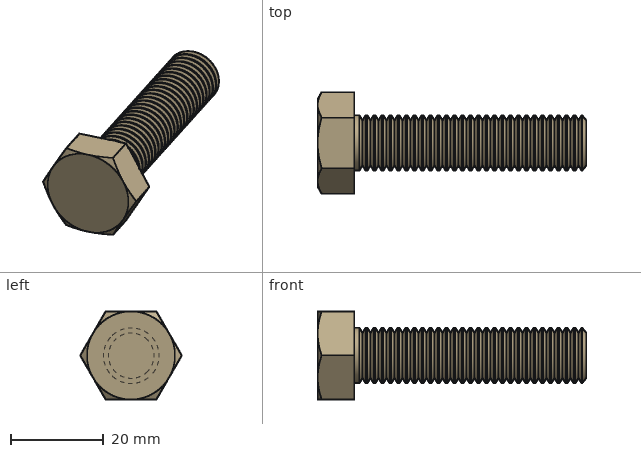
import cadquery as cq
import math

total_length = 57.95
head_height = 7.95
across_flats = 19.0
across_corners = across_flats / math.cos(math.radians(30))
head_chamfer_angle = 30.0

thread_diameter = 12.0
thread_depth = 1.1
groove_count = 28
thread_length = 48.35
thread_pitch = thread_length / groove_count
crest_width = 0.375
plain_collar_length = 1.05
tip_chamfer_length = 0.9

thread_radius = thread_diameter / 2
root_radius = thread_radius - thread_depth
groove_width = thread_pitch - crest_width


def revolve_about_x(profile):
    """Turn a profile, drawn as length along X and radius along Y, about the X axis."""
    return profile.close().revolve(360, (0, 0, 0), (1, 0, 0))


def make_head():
    """Hexagonal prism with flats facing +Z and -Z, its outer corners cut by a cone."""
    hexagon = cq.Workplane("YZ").polygon(6, across_corners).extrude(head_height)

    flat_radius = across_flats / 2
    corner_radius = across_corners / 2
    chamfer_length = (corner_radius - flat_radius) * math.tan(math.radians(head_chamfer_angle))
    envelope = revolve_about_x(
        cq.Workplane("XY")
        .lineTo(0, flat_radius)
        .lineTo(chamfer_length, corner_radius)
        .lineTo(head_height, corner_radius)
        .lineTo(head_height, 0)
    )
    return hexagon.intersect(envelope)


def make_threaded_shank():
    """Turned shank: plain collar under the head, V grooves, then a tip chamfered to the root."""
    profile = cq.Workplane("XY").moveTo(head_height, 0).lineTo(head_height, thread_radius)
    for index in range(groove_count):
        groove_start = head_height + plain_collar_length + index * thread_pitch
        profile = (
            profile.lineTo(groove_start, thread_radius)
            .lineTo(groove_start + groove_width / 2, root_radius)
            .lineTo(groove_start + groove_width, thread_radius)
        )
    profile = (
        profile.lineTo(total_length - tip_chamfer_length, thread_radius)
        .lineTo(total_length, root_radius)
        .lineTo(total_length, 0)
    )
    return revolve_about_x(profile)


result = make_head().union(make_threaded_shank())